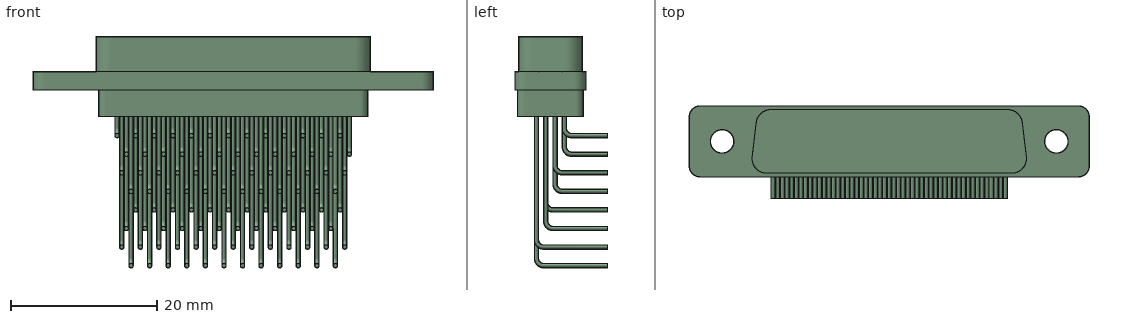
import cadquery as cq
import math


FLANGE_LENGTH = 54.7
FLANGE_DEPTH = 9.75
FLANGE_THICKNESS = 2.5
FLANGE_CORNER_RADIUS = 1.55
HOLE_SPACING = 45.7
HOLE_DIAMETER = 3.15

SHELL_FRONT_WIDTH = 38.0
SHELL_BACK_WIDTH = 35.95
SHELL_DEPTH = 8.7
SHELL_HEIGHT = 4.8
SHELL_CORNER_RADIUS = 2.0

BODY_LENGTH = 36.75
BODY_DEPTH = 9.0
BODY_HEIGHT = 3.6
BODY_CORNER_RADIUS = 1.0

OVERALL_DEPTH = 12.7
OVERALL_HEIGHT = 31.6
PIN_RADIUS = 0.3
BEND_RADIUS = 1.0
LONG_ROW_SPAN = 30.45
LONG_ROW_COUNT = 13
PIN_PITCH = LONG_ROW_SPAN / (LONG_ROW_COUNT - 1)
ROW_SHIFT = PIN_PITCH / 4
COLUMN_SPACING = PIN_PITCH / 2
LEVEL_SPACING = PIN_PITCH
COLUMN_COUNT = 4

PIN_ROWS = [(13, -1), (13, 1), (13, 0), (12, 0), (12, 1), (12, -1), (13, 0), (12, 0)]
LEVELS_PER_COLUMN = len(PIN_ROWS) // COLUMN_COUNT

PIN_TOP_Z = -BODY_HEIGHT
PIN_TIP_Y = FLANGE_DEPTH / 2 - OVERALL_DEPTH
LOWEST_LEG_Z = FLANGE_THICKNESS + SHELL_HEIGHT - OVERALL_HEIGHT + PIN_RADIUS
FRONT_COLUMN_Y = -COLUMN_SPACING * (COLUMN_COUNT - 1) / 2


def make_flange():
    return (
        cq.Workplane("XY")
        .rect(FLANGE_LENGTH, FLANGE_DEPTH)
        .extrude(FLANGE_THICKNESS)
        .edges("|Z")
        .fillet(FLANGE_CORNER_RADIUS)
        .faces(">Z")
        .workplane()
        .pushPoints([(-HOLE_SPACING / 2, 0), (HOLE_SPACING / 2, 0)])
        .hole(HOLE_DIAMETER)
    )


def make_shell():
    trapezoid = [
        (-SHELL_FRONT_WIDTH / 2, -SHELL_DEPTH / 2),
        (SHELL_FRONT_WIDTH / 2, -SHELL_DEPTH / 2),
        (SHELL_BACK_WIDTH / 2, SHELL_DEPTH / 2),
        (-SHELL_BACK_WIDTH / 2, SHELL_DEPTH / 2),
    ]
    return (
        cq.Workplane("XY")
        .workplane(offset=FLANGE_THICKNESS)
        .polyline(trapezoid)
        .close()
        .extrude(SHELL_HEIGHT)
        .edges("|Z")
        .fillet(SHELL_CORNER_RADIUS)
    )


def make_body():
    return (
        cq.Workplane("XY")
        .rect(BODY_LENGTH, BODY_DEPTH)
        .extrude(-BODY_HEIGHT)
        .edges("|Z")
        .fillet(BODY_CORNER_RADIUS)
    )


def make_pin(column_y, leg_z):
    """One bent pin in the plane X = 0, from the body underside to its -Y tip."""
    bend_inset = BEND_RADIUS * (1 - math.sqrt(0.5))
    path = (
        cq.Workplane("YZ")
        .moveTo(column_y, PIN_TOP_Z)
        .lineTo(column_y, leg_z + BEND_RADIUS)
        .threePointArc(
            (column_y - bend_inset, leg_z + bend_inset),
            (column_y - BEND_RADIUS, leg_z),
        )
        .lineTo(PIN_TIP_Y, leg_z)
    )
    return (
        cq.Workplane("XY", origin=(0, column_y, PIN_TOP_Z))
        .circle(PIN_RADIUS)
        .sweep(path)
        .val()
    )


def make_pins():
    pins = []
    for level, (count, shift) in enumerate(PIN_ROWS):
        column_y = FRONT_COLUMN_Y + COLUMN_SPACING * (level // LEVELS_PER_COLUMN)
        leg_z = LOWEST_LEG_Z + LEVEL_SPACING * (len(PIN_ROWS) - 1 - level)
        pin = make_pin(column_y, leg_z)
        first_x = shift * ROW_SHIFT - PIN_PITCH * (count - 1) / 2
        for index in range(count):
            pins.append(pin.translate(cq.Vector(first_x + index * PIN_PITCH, 0, 0)))
    return pins


housing = make_flange().union(make_shell()).union(make_body())
result = cq.Workplane(housing.val().fuse(*make_pins()))